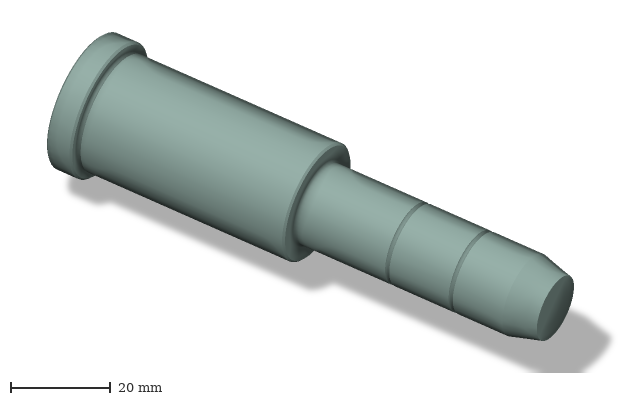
import cadquery as cq
import math

length = 111.0
head_radius = 30.0 / 2
body_radius = 26.0 / 2
pin_radius = 18.0 / 2

head_length = 6.0
body_end = 55.0
tip_length = 7.0
tip_angle = 15.0

head_chamfer = 0.4
body_chamfer = 0.4
root_fillet = 0.5

groove_width = 1.0
groove_depth = 0.4
undercut_start = head_length
pin_groove_starts = (76.4, 91.4)


def cylinder(start, end, radius):
    """Solid cylinder on the X axis between two stations."""
    return cq.Workplane("YZ").workplane(offset=start).circle(radius).extrude(end - start)


def arc_groove(start, radius):
    """Ring that cuts a circular-arc groove into a cylinder of the given radius."""
    middle = start + groove_width / 2
    end = start + groove_width
    clearance = radius + groove_depth
    return (
        cq.Workplane("XY")
        .moveTo(start, radius)
        .threePointArc((middle, radius - groove_depth), (end, radius))
        .lineTo(end, clearance)
        .lineTo(start, clearance)
        .close()
        .revolve(360, (0, 0, 0), (1, 0, 0))
    )


body = cylinder(head_length, body_end, body_radius).faces(">X").chamfer(body_chamfer)
body = body.cut(arc_groove(undercut_start, body_radius))

head = cylinder(0, head_length, head_radius).edges().chamfer(head_chamfer)

tip_start = length - tip_length
tip_radius = pin_radius - tip_length * math.tan(math.radians(tip_angle))
root_mid_offset = root_fillet * (1 - math.sqrt(0.5))
pin = (
    cq.Workplane("XY")
    .moveTo(body_end, 0)
    .lineTo(body_end, pin_radius + root_fillet)
    .threePointArc(
        (body_end + root_mid_offset, pin_radius + root_mid_offset),
        (body_end + root_fillet, pin_radius),
    )
    .lineTo(tip_start, pin_radius)
    .lineTo(length, tip_radius)
    .lineTo(length, 0)
    .close()
    .revolve(360, (0, 0, 0), (1, 0, 0))
)
for groove_start in pin_groove_starts:
    pin = pin.cut(arc_groove(groove_start, pin_radius))

result = head.union(body).union(pin)